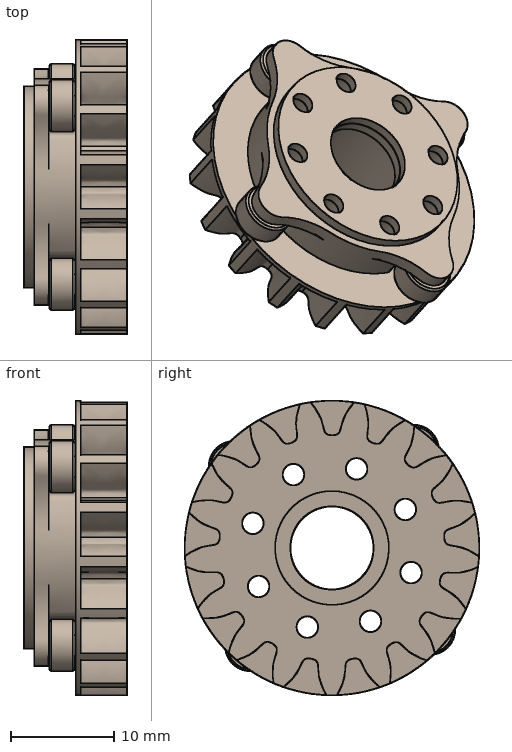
import cadquery as cq
import math

disc_end = 1.0
bore_step = 2.0
plate_end = 2.4
flange_start = 5.0
flange_end = 5.5
total_length = 10.0

assembly_turn = 5.2

disc_diameter = 19.52
disc_bore = 8.1
disc_hole_diameter = 2.08

hub_bore = 8.0
rear_bore = 11.0
hub_hole_diameter = 2.05
hole_count = 8
hole_circle_radius = 8.0

drum_radius = 10.48
lobe_count = 4
lobe_circle_radius = 12.25
lobe_radius = 2.0
lobe_blend = 7.98
pocket_radius = 2.75
pocket_blend = 1.0

roller_diameter = 5.0
roller_width = 2.5
roller_chamfer = 0.2
axle_diameter = 2.0

tooth_count = 17
tip_radius = 14.25
pressure_angle = math.radians(20)
root_radius = 10.88
flank_points = 5
pitch_radius = tip_radius * tooth_count / (tooth_count + 2)
base_radius = pitch_radius * math.cos(pressure_angle)


def polar(radius, angle):
    """Point at a radius and an angle in radians, in the YZ plane."""
    return (radius * math.cos(angle), radius * math.sin(angle))


def towards(start, target, distance):
    """Point at a distance from start along the line to target."""
    scale = distance / math.dist(start, target)
    return tuple(s + (t - s) * scale for s, t in zip(start, target))


def plane_at(x):
    """YZ work plane at a position along X."""
    return cq.Workplane("YZ", origin=(x, 0, 0))


def circle_points(count, radius):
    """Evenly spaced points on a circle, the first one half a step above +Y."""
    step = 2 * math.pi / count
    return [polar(radius, (i + 0.5) * step) for i in range(count)]


def scalloped_disc(x_start, x_end, scallop_radius, blend_radius, outward):
    """Disc of the drum radius with tangent, blended lobes (outward=1) or pockets (outward=-1)."""
    blend_distance = drum_radius + outward * blend_radius
    scallop_distance = scallop_radius + blend_radius
    blend_angle = math.acos(
        (blend_distance**2 + lobe_circle_radius**2 - scallop_distance**2)
        / (2 * blend_distance * lobe_circle_radius)
    )
    pitch = 2 * math.pi / lobe_count
    outline = plane_at(x_start).moveTo(*polar(drum_radius, pitch / 2 - blend_angle))
    for i in range(lobe_count):
        lobe_angle = (i + 0.5) * pitch
        lobe_center = polar(lobe_circle_radius, lobe_angle)
        joints = []
        for side in (-1, 1):
            blend_center = polar(blend_distance, lobe_angle + side * blend_angle)
            on_drum = polar(drum_radius, lobe_angle + side * blend_angle)
            on_scallop = towards(lobe_center, blend_center, scallop_radius)
            chord_middle = tuple((a + b) / 2 for a, b in zip(on_drum, on_scallop))
            on_blend = towards(blend_center, chord_middle, blend_radius)
            joints.append((on_drum, on_blend, on_scallop))
        (_, blend_in, scallop_in), (drum_out, blend_out, scallop_out) = joints
        scallop_middle = polar(lobe_circle_radius + outward * scallop_radius, lobe_angle)
        next_drum = polar(drum_radius, lobe_angle + pitch - blend_angle)
        outline = (
            outline.threePointArc(blend_in, scallop_in)
            .threePointArc(scallop_middle, scallop_out)
            .threePointArc(blend_out, drum_out)
            .threePointArc(polar(drum_radius, lobe_angle + pitch / 2), next_drum)
        )
    return outline.close().extrude(x_end - x_start)


def involute(angle):
    """Involute function of a pressure angle."""
    return math.tan(angle) - angle


def half_tooth_angle(radius):
    """Half the angle that a tooth spans at a radius."""
    at_pitch = math.pi / (2 * tooth_count) + involute(pressure_angle)
    return at_pitch - involute(math.acos(base_radius / radius))


def gear_teeth():
    """Toothed rim with involute flanks and round roots."""
    pitch = 2 * math.pi / tooth_count
    step = (tip_radius - base_radius) / (flank_points - 1)
    radii = [base_radius + i * step for i in range(flank_points - 1)] + [tip_radius]
    base_half = half_tooth_angle(base_radius)

    root_edge = polar(base_radius, pitch / 2 - base_half)
    root_height = root_edge[0] - root_radius
    root_rounding = (root_edge[1] ** 2 + root_height**2) / (2 * root_height)
    rounding_center = (root_radius + root_rounding, 0)
    chord_middle = ((root_edge[0] + root_radius) / 2, root_edge[1] / 2)
    root_side = towards(rounding_center, chord_middle, root_rounding)
    root_side_radius = math.hypot(*root_side)
    root_side_angle = math.atan2(root_side[1], root_side[0])

    outline = plane_at(flange_end).moveTo(*polar(root_radius, math.pi - pitch / 2))
    for i in range(tooth_count):
        middle = math.pi + i * pitch
        root_before = middle - pitch / 2
        root_after = middle + pitch / 2
        rising = [polar(root_side_radius, root_before + root_side_angle)]
        rising += [polar(r, middle - half_tooth_angle(r)) for r in radii]
        falling = [polar(r, middle + half_tooth_angle(r)) for r in reversed(radii)]
        falling += [polar(root_side_radius, root_after - root_side_angle)]
        outline = (
            outline.spline(rising, includeCurrent=True)
            .threePointArc(polar(tip_radius, middle), falling[0])
            .spline(falling[1:] + [polar(root_radius, root_after)], includeCurrent=True)
        )
    return outline.close().extrude(total_length - flange_end)


def make_pilot_disc():
    """Flat disc on the front of the hub."""
    disc = plane_at(0).circle(disc_diameter / 2).circle(disc_bore / 2).extrude(disc_end)
    holes = (
        plane_at(0)
        .pushPoints(circle_points(hole_count, hole_circle_radius))
        .circle(disc_hole_diameter / 2)
        .extrude(disc_end)
    )
    return disc.cut(holes)


def make_gear_hub():
    """Lobed plate, drum, roller axles, flange and gear teeth in one piece."""
    plate = scalloped_disc(disc_end, plate_end, lobe_radius, lobe_blend, 1)
    drum = scalloped_disc(plate_end, flange_start, pocket_radius, pocket_blend, -1)
    axles = (
        plane_at(plate_end)
        .pushPoints(circle_points(lobe_count, lobe_circle_radius))
        .circle(axle_diameter / 2)
        .extrude(flange_start - plate_end)
    )
    flange = plane_at(flange_start).circle(tip_radius).extrude(flange_end - flange_start)
    hub = plate.union(drum).union(axles).union(flange).union(gear_teeth())

    front_bore = plane_at(disc_end).circle(hub_bore / 2).extrude(bore_step - disc_end)
    back_bore = plane_at(bore_step).circle(rear_bore / 2).extrude(total_length - bore_step)
    holes = (
        plane_at(disc_end)
        .pushPoints(circle_points(hole_count, hole_circle_radius))
        .circle(hub_hole_diameter / 2)
        .extrude(total_length - disc_end)
    )
    return hub.cut(front_bore).cut(back_bore).cut(holes)


def make_roller(center):
    """Roller with chamfered rims, bored to fit its axle, centred between plate and flange."""
    start = (plate_end + flange_start - roller_width) / 2
    blank = plane_at(start).center(*center).circle(roller_diameter / 2).extrude(roller_width)
    bore = plane_at(start).center(*center).circle(axle_diameter / 2).extrude(roller_width)
    return blank.edges("%CIRCLE").chamfer(roller_chamfer).cut(bore)


pilot_disc = make_pilot_disc()
gear_hub = make_gear_hub()
rollers = [make_roller(point) for point in circle_points(lobe_count, lobe_circle_radius)]

bodies = [pilot_disc, gear_hub, *rollers]
turned = [body.rotate((0, 0, 0), (1, 0, 0), assembly_turn).val() for body in bodies]
result = cq.Compound.makeCompound(turned)